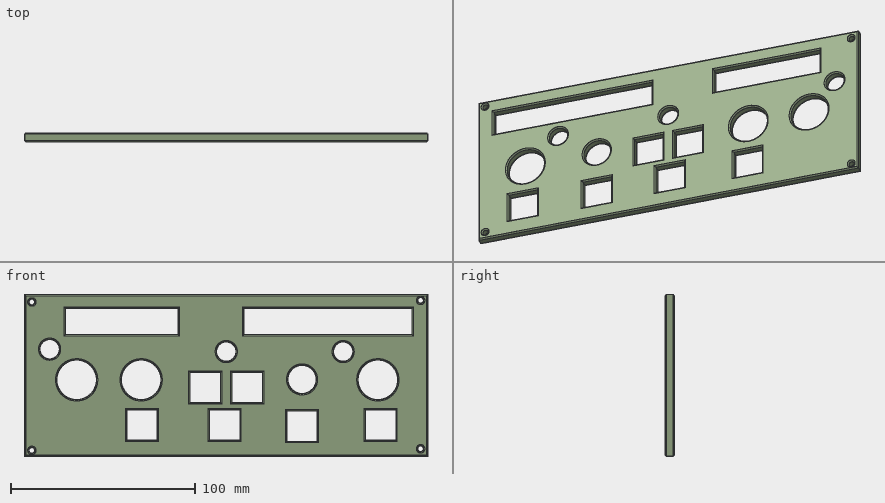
import cadquery as cq

width = 219.0
height = 88.0
thickness = 5.0
edge_chamfer = 0.77

window_height = 14.2
window_z = 29.3
left_window_x = -56.7
left_window_width = 61.0
right_window_x = 55.2
right_window_width = 91.3

button_size = 16.5
upper_row_z = -6.5
upper_pair_x = 11.4
lower_row_z = -27.0
button_drop = 0.7
button_centres = [
    (-upper_pair_x, upper_row_z),
    (upper_pair_x, upper_row_z),
    (-45.8, lower_row_z),
    (-0.9, lower_row_z),
    (41.2, lower_row_z - button_drop),
    (83.9, lower_row_z),
]

dial_diameter = 21.5
knob_diameter = 15.3
dial_row_z = -2.5
knob_z = -2.2
dial_centres = [(-81.2, dial_row_z), (-46.2, dial_row_z), (82.3, dial_row_z)]
knob_centres = [(41.2, knob_z)]

jack_diameter = 10.5
jack_row_z = 13.0
left_jack_z = 14.2
jack_centres = [(-96.0, left_jack_z), (0.0, jack_row_z), (63.5, jack_row_z)]

screw_diameter = 3.0
screw_x = 105.5
screw_pitch_z = 80.5
left_pair_z = -0.5
right_pair_z = 0.5
screw_centres = [
    (side * screw_x, pair_z + end * screw_pitch_z / 2)
    for side, pair_z in ((-1, left_pair_z), (1, right_pair_z))
    for end in (-1, 1)
]


def rectangular_cutter(centres, size_x, size_z):
    """Bars through the full thickness at each (x, z) centre."""
    return cq.Workplane("XZ").pushPoints(centres).rect(size_x, size_z).extrude(thickness, both=True)


def round_cutter(centres, diameter):
    """Rods through the full thickness at each (x, z) centre."""
    return cq.Workplane("XZ").pushPoints(centres).circle(diameter / 2).extrude(thickness, both=True)


cutters = [
    rectangular_cutter([(left_window_x, window_z)], left_window_width, window_height),
    rectangular_cutter([(right_window_x, window_z)], right_window_width, window_height),
    rectangular_cutter(button_centres, button_size, button_size),
    round_cutter(dial_centres, dial_diameter),
    round_cutter(knob_centres, knob_diameter),
    round_cutter(jack_centres, jack_diameter),
    round_cutter(screw_centres, screw_diameter),
]

panel = cq.Workplane("XY").box(width, thickness, height)
for cutter in cutters:
    panel = panel.cut(cutter)

result = panel.faces("<Y or >Y").edges().chamfer(edge_chamfer)